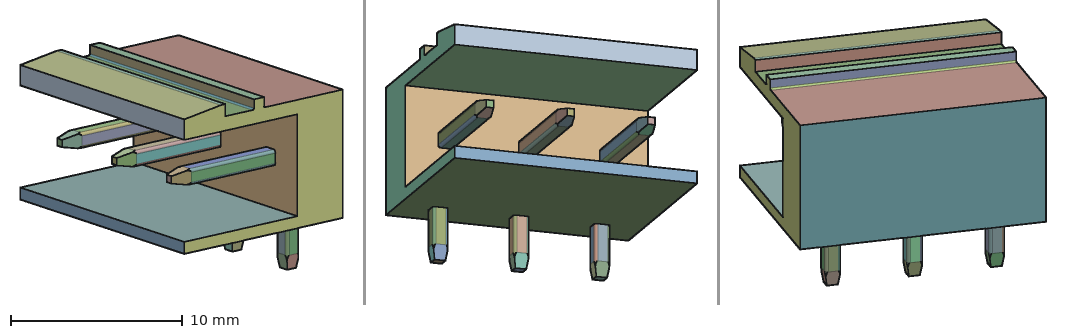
import cadquery as cq
import math

WIDTH = 15.0
DEPTH = 12.0
OVERALL_HEIGHT = 11.7
BODY_HEIGHT = 7.78
BACK_THICKNESS = 3.44
ROOF_THICKNESS = 0.87
FLOOR_THICKNESS = 0.74

RIB_FRONT = 5.28
RIB_THICKNESS = 0.76
RIB_HEIGHT = 0.63
RIB_FOOT_RADIUS = 0.1

LATCH_BACK = 3.12
LATCH_FLAT = 0.35
LATCH_HEIGHT = 0.74
LATCH_FRONT_HEIGHT = 0.38

PIN_COUNT = 3
PIN_PITCH = WIDTH / PIN_COUNT
PIN_SIZE = 0.98
PIN_EDGE_RADIUS = 0.18
CONTACT_Z = 3.82
TAIL_Y = 9.92
CONTACT_TIP_Y = 0.92
CONTACT_TAPER = 1.28
CONTACT_TIP_SIZE = 0.45
TAIL_TIP_Z = BODY_HEIGHT + LATCH_HEIGHT - OVERALL_HEIGHT
TAIL_TAPER = 0.93
TAIL_TIP_SIZE = 0.68


def make_housing():
    """C-shaped shell with the roof rib and the latch lip, before the pin holes are cut."""
    cavity_back = DEPTH - BACK_THICKNESS
    cavity_top = BODY_HEIGHT - ROOF_THICKNESS
    shell = (
        cq.Workplane("YZ")
        .moveTo(DEPTH, 0)
        .lineTo(DEPTH, BODY_HEIGHT)
        .lineTo(LATCH_BACK, BODY_HEIGHT)
        .lineTo(LATCH_BACK, BODY_HEIGHT + LATCH_HEIGHT)
        .lineTo(LATCH_BACK - LATCH_FLAT, BODY_HEIGHT + LATCH_HEIGHT)
        .lineTo(0, BODY_HEIGHT + LATCH_FRONT_HEIGHT)
        .lineTo(0, cavity_top)
        .lineTo(cavity_back, cavity_top)
        .lineTo(cavity_back, FLOOR_THICKNESS)
        .lineTo(0, FLOOR_THICKNESS)
        .lineTo(0, 0)
        .close()
        .extrude(WIDTH)
    )
    return shell.union(make_rib())


def make_rib():
    """Rib whose front and back faces flow into the roof through concave fillets."""
    rib_back = RIB_FRONT + RIB_THICKNESS
    rib_top = BODY_HEIGHT + RIB_HEIGHT
    fillet_top = BODY_HEIGHT + RIB_FOOT_RADIUS
    inset = RIB_FOOT_RADIUS * (1 - math.sqrt(0.5))
    return (
        cq.Workplane("YZ")
        .moveTo(RIB_FRONT - RIB_FOOT_RADIUS, BODY_HEIGHT)
        .threePointArc((RIB_FRONT - inset, BODY_HEIGHT + inset), (RIB_FRONT, fillet_top))
        .lineTo(RIB_FRONT, rib_top)
        .lineTo(rib_back, rib_top)
        .lineTo(rib_back, fillet_top)
        .threePointArc((rib_back + inset, BODY_HEIGHT + inset), (rib_back + RIB_FOOT_RADIUS, BODY_HEIGHT))
        .close()
        .extrude(WIDTH)
    )


def make_leg(length, taper, tip_size):
    """Square bar along +Z from the origin with rounded long edges and a tapered far end."""
    bar = (
        cq.Workplane("XY")
        .rect(PIN_SIZE, PIN_SIZE)
        .extrude(length)
        .edges("|Z")
        .fillet(PIN_EDGE_RADIUS)
    )
    straight = cq.Workplane("XY").rect(PIN_SIZE, PIN_SIZE).extrude(length - taper)
    point = (
        cq.Workplane("XY", origin=(0, 0, length - taper))
        .rect(PIN_SIZE, PIN_SIZE)
        .workplane(offset=taper)
        .rect(tip_size, tip_size)
        .loft(ruled=True)
    )
    return bar.intersect(straight.union(point))


def make_pin(x):
    """Right-angle pin: a contact leg toward -Y and a tail leg toward -Z, joined by a square elbow."""
    half = PIN_SIZE / 2
    contact = make_leg(TAIL_Y - half - CONTACT_TIP_Y, CONTACT_TAPER, CONTACT_TIP_SIZE)
    contact = contact.rotate((0, 0, 0), (1, 0, 0), 90).translate((0, -half, 0))
    tail = make_leg(CONTACT_Z - half - TAIL_TIP_Z, TAIL_TAPER, TAIL_TIP_SIZE)
    tail = tail.rotate((0, 0, 0), (1, 0, 0), 180).translate((0, 0, -half))
    elbow = cq.Workplane("XY").box(PIN_SIZE, PIN_SIZE, PIN_SIZE)
    return elbow.union(contact).union(tail).translate((x, TAIL_Y, CONTACT_Z))


housing = make_housing()
pins = []
for index in range(PIN_COUNT):
    pin = make_pin((index + 0.5) * PIN_PITCH)
    housing = housing.cut(pin)
    pins.append(pin)

result = cq.Compound.makeCompound([housing.val(), *[pin.val() for pin in pins]])